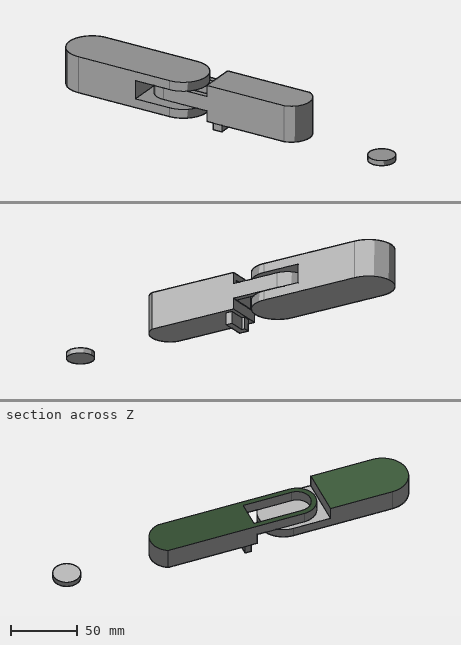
import cadquery as cq

overall_length = 285.7
body_height = 30.0

case_length = 120.0
case_width = 39.7
case_slot_start = 70.0
case_slot_height = 15.0

arm_width = 30.0
arm_center_y = 2.5
tongue_start = 75.0
tongue_height = 12.0
tongue_bottom = 8.9
window_width = 21.0
block_start = 128.3
block_near_end = 196.2
block_far_end = 200.5
block_tip = 209.0
block_tip_y = 3.5

recess_depth = 0.9
recess_roof = 5.0

peg_height = 9.7
peg_length = 7.7
peg_near_y = -4.9
peg_step_y = 0.3
peg_far_y = 14.3
peg_step_depth = 2.5

disc_diameter = 21.0
disc_thickness = 4.3
disc_center_y = -1.0


def box_between(x_range, y_range, z_range):
    """Box spanning the given (low, high) limits along each axis."""
    size = [high - low for low, high in (x_range, y_range, z_range)]
    corner = (x_range[0], y_range[0], z_range[0])
    return cq.Workplane("XY").box(*size, centered=False).translate(corner)


def make_case():
    bar = (
        cq.Workplane("XY")
        .center(case_length / 2, 0)
        .slot2D(case_length, case_width)
        .extrude(body_height)
    )
    slot_bottom = (body_height - case_slot_height) / 2
    slot = box_between(
        (case_slot_start, case_length),
        (-case_width / 2, case_width / 2),
        (slot_bottom, slot_bottom + case_slot_height),
    )
    return bar.cut(slot)


def make_round_nosed_strip(nose_center_x, end_x, width):
    """Flat strip outline along X with a full-round nose at its low-X end."""
    half_width = width / 2
    return (
        cq.Workplane("XY", origin=(0, arm_center_y, tongue_bottom))
        .moveTo(end_x, -half_width)
        .lineTo(nose_center_x, -half_width)
        .threePointArc((nose_center_x - half_width, 0), (nose_center_x, half_width))
        .lineTo(end_x, half_width)
        .close()
        .extrude(tongue_height)
    )


def make_tongue():
    """Round-nosed tongue with a window of concentric outline, up to the block face."""
    nose_center_x = tongue_start + arm_width / 2
    tongue = make_round_nosed_strip(nose_center_x, block_start, arm_width)
    window = make_round_nosed_strip(nose_center_x, block_start, window_width)
    return tongue.cut(window)


def make_block():
    near_y = arm_center_y - arm_width / 2
    far_y = arm_center_y + arm_width / 2
    block = (
        cq.Workplane("XY")
        .moveTo(block_start, near_y)
        .lineTo(block_near_end, near_y)
        .threePointArc((block_tip, block_tip_y), (block_far_end, far_y))
        .lineTo(block_start, far_y)
        .close()
        .extrude(body_height)
    )
    recess = box_between(
        (block_start, block_start + recess_depth),
        (arm_center_y - window_width / 2, arm_center_y + window_width / 2),
        (tongue_bottom, body_height - recess_roof),
    )
    return block.cut(recess)


def make_peg():
    """L-shaped peg whose low-X side lies level with the recess floor."""
    peg_start = block_start + recess_depth
    peg_end = peg_start + peg_length
    z_range = (-peg_height, 0)
    near_leg = box_between((peg_start, peg_end), (peg_near_y, peg_step_y), z_range)
    far_leg = box_between((peg_start + peg_step_depth, peg_end), (peg_step_y, peg_far_y), z_range)
    return near_leg.union(far_leg)


def make_arm():
    return make_block().union(make_tongue()).union(make_peg())


def make_disc():
    disc_center_x = overall_length - disc_diameter / 2
    return (
        cq.Workplane("XY")
        .center(disc_center_x, disc_center_y)
        .circle(disc_diameter / 2)
        .extrude(disc_thickness)
    )


case = make_case()
arm = make_arm()
disc = make_disc()

result = cq.Compound.makeCompound([case.val(), arm.val(), disc.val()])